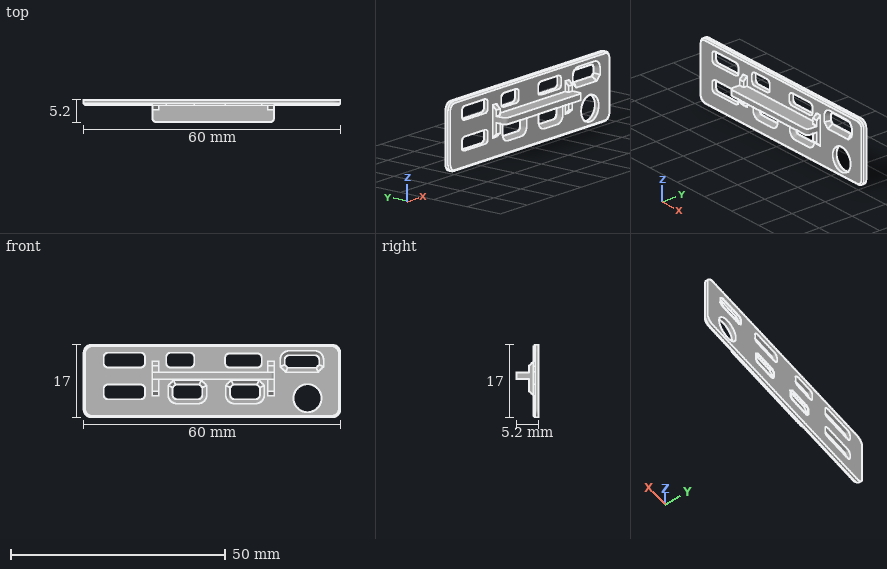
import cadquery as cq
import math

plate_length = 60.0
plate_height = 17.0
plate_thickness = 1.2
plate_corner_radius = 2.0
plate_edge_chamfer = 0.4

total_depth = 5.2
bar_length = 28.4
bar_center_x = 0.3
bar_center_z = 1.25
bar_thickness = 1.6
bar_corner_radius = 0.9
foot_width = 1.45
foot_height = 8.0
foot_center_z = 0.6
foot_rise = 1.05

window_corner_radius = 1.0
flared_corner_chamfer = 0.65
flare_depth = 1.05
upper_row_z = 4.9
lower_row_z = -2.53
row_height = 3.4
straight_windows = [
    (-20.45, upper_row_z, 9.6, row_height),
    (-20.45, lower_row_z, 9.6, row_height),
    (-7.4, upper_row_z, 6.5, row_height),
    (7.35, 4.8, 8.5, 3.25),
]
flared_windows = [
    (-5.72, lower_row_z, 6.9, row_height, True),
    (7.72, lower_row_z, 6.9, row_height, True),
    (21.0, 4.58, 8.0, 2.85, False),
]

round_hole_diameter = 6.5
round_hole_x = 22.3
round_hole_z = -4.0

front_y = -plate_thickness


def rounded_block(center_x, center_z, length, height, corner_radius):
    """Rounded rectangle in XZ, extruded from the back face to the front face."""
    return (
        cq.Workplane("XZ")
        .center(center_x, center_z)
        .rect(length, height)
        .extrude(plate_thickness)
        .edges("|Y")
        .fillet(corner_radius)
    )


def make_plate():
    plate = rounded_block(0, 0, plate_length, plate_height, plate_corner_radius)
    return plate.faces("<Y").chamfer(plate_edge_chamfer)


def straight_cutter(center_x, center_z, length, height):
    return rounded_block(center_x, center_z, length, height, window_corner_radius)


def flared_outline(length, height, corner_radius, corner_chamfer, chamfer_on_top):
    """Rectangle with two rounded corners on one long side and two chamfered on the other."""
    rounded_side, chamfered_side = ("<Y", ">Y") if chamfer_on_top else (">Y", "<Y")
    return (
        cq.Sketch()
        .rect(length, height)
        .vertices(rounded_side)
        .fillet(corner_radius)
        .reset()
        .vertices(chamfered_side)
        .chamfer(corner_chamfer)
    )


def flared_cutter(center_x, center_z, length, height, chamfer_on_top):
    """Window that leaves a thin lip at the back face and flares at 45 degrees to the front face."""
    chamfer_growth = flare_depth * (2 - math.sqrt(2))
    back = flared_outline(
        length, height, window_corner_radius, flared_corner_chamfer, chamfer_on_top
    )
    front = flared_outline(
        length + 2 * flare_depth,
        height + 2 * flare_depth,
        window_corner_radius + flare_depth,
        flared_corner_chamfer + chamfer_growth,
        chamfer_on_top,
    )
    lip_depth = plate_thickness - flare_depth
    back_plane = cq.Workplane("XZ").center(center_x, center_z)
    lip = back_plane.placeSketch(back).extrude(lip_depth)
    flare = (
        back_plane.workplane(offset=lip_depth)
        .placeSketch(back, front.moved(cq.Location(cq.Vector(0, 0, flare_depth))))
        .loft()
    )
    return lip.union(flare)


def make_round_hole():
    return (
        cq.Workplane("XZ")
        .center(round_hole_x, round_hole_z)
        .circle(round_hole_diameter / 2)
        .extrude(plate_thickness)
    )


def make_bar():
    bar_depth = total_depth - plate_thickness
    return (
        cq.Workplane("XY")
        .box(bar_length, bar_depth, bar_thickness)
        .edges("|Z and <Y")
        .fillet(bar_corner_radius)
        .translate((bar_center_x, front_y - bar_depth / 2, bar_center_z))
    )


def make_foot(center_x):
    """Trapezoidal foot whose ends slope at 45 degrees."""
    bottom_z = foot_center_z - foot_height / 2
    top_z = foot_center_z + foot_height / 2
    return (
        cq.Workplane("YZ")
        .polyline([
            (front_y, bottom_z),
            (front_y, top_z),
            (front_y - foot_rise, top_z - foot_rise),
            (front_y - foot_rise, bottom_z + foot_rise),
        ])
        .close()
        .extrude(foot_width / 2, both=True)
        .translate((center_x, 0, 0))
    )


result = make_plate()
result = result.union(make_bar())
foot_offset = (bar_length - foot_width) / 2
for side in (-1, 1):
    result = result.union(make_foot(bar_center_x + side * foot_offset))
for window in straight_windows:
    result = result.cut(straight_cutter(*window))
for window in flared_windows:
    result = result.cut(flared_cutter(*window))
result = result.cut(make_round_hole())